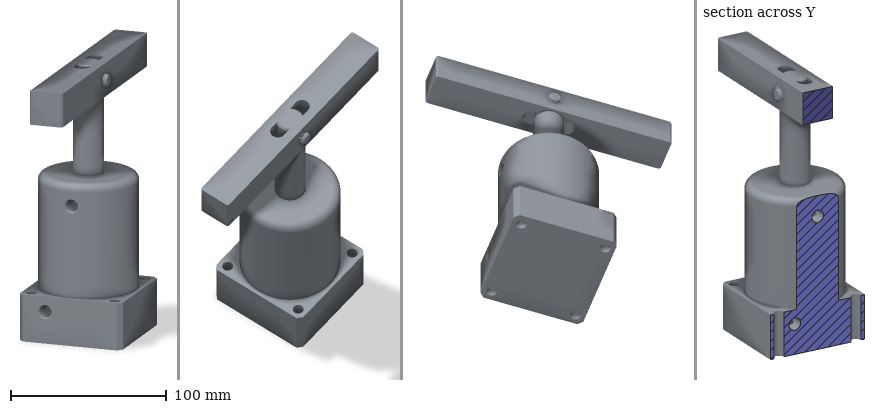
import cadquery as cq

BASE_SIDE = 70.0
BASE_HEIGHT = 31.1
BASE_CORNER_CHAMFER = 3.0
MOUNT_HOLE_DIA = 7.0
MOUNT_HOLE_PITCH = 57.0
CYLINDER_DIA = 65.0
HOUSING_HEIGHT = 107.0
CYLINDER_TOP_FILLET = 5.0

PORT_DIA = 8.3
PORT_CHAMFER = 0.5
PORT_DEPTH = 14.4
PORT_CLEARANCE = 3.6
PORT_A_Z = 92.2
PORT_A_RECESS = 0.5
PORT_B_X = -17.0
PORT_B_Z = 21.0

TOTAL_HEIGHT = 180.0
ARM_LENGTH = 160.0
ARM_SIDE = 22.3
ARM_END_CHAMFER = 1.0
SLOT_WIDTH = 9.9
SLOT_LENGTH = 35.5
ARM_BOTTOM = TOTAL_HEIGHT - ARM_SIDE

ROD_DIA = 20.2
ROD_CHAMFER = 1.0
TONGUE_DIA = ROD_DIA - 2 * ROD_CHAMFER
TONGUE_CHAMFER = 1.0

PIN_DIA = 8.1
PIN_LENGTH = 27.7
PIN_END_CHAMFER = 0.7
PIN_Z = ARM_BOTTOM + ARM_SIDE / 2
RING_THICKNESS = 0.9
RING_BORE_DIA = 7.2
RING_OUTER_DIA = 8.6
RING_OFFSET = 0.4
RING_LUG_REACH = 5.8
RING_LUG_WIDTH = 4.0
RING_GAP = 1.0
RING_ANGLES = {-1: 59.0, 1: 0.0}


def x_cylinder(diameter, length):
    """Cylinder along X on the hinge axis, centred on the arm."""
    return (
        cq.Workplane("YZ", origin=(-length / 2, 0, PIN_Z))
        .circle(diameter / 2)
        .extrude(length)
    )


def port_cutter(x, mouth_y, z):
    """Blind hole along +Y with a countersink at mouth_y, open towards -Y."""
    radius = PORT_DIA / 2
    rim_radius = radius + PORT_CHAMFER
    return (
        cq.Workplane("XY", origin=(x, mouth_y, z))
        .moveTo(0, -PORT_CLEARANCE)
        .lineTo(rim_radius, -PORT_CLEARANCE)
        .lineTo(rim_radius, 0)
        .lineTo(radius, PORT_CHAMFER)
        .lineTo(radius, PORT_DEPTH)
        .lineTo(0, PORT_DEPTH)
        .close()
        .revolve(360, (0, 0, 0), (0, 1, 0))
    )


def make_housing():
    base = (
        cq.Workplane("XY")
        .rect(BASE_SIDE, BASE_SIDE)
        .extrude(BASE_HEIGHT)
        .edges("|Z")
        .chamfer(BASE_CORNER_CHAMFER)
        .faces(">Z")
        .workplane()
        .rect(MOUNT_HOLE_PITCH, MOUNT_HOLE_PITCH, forConstruction=True)
        .vertices()
        .hole(MOUNT_HOLE_DIA)
    )
    cylinder = (
        cq.Workplane("XY", origin=(0, 0, BASE_HEIGHT))
        .circle(CYLINDER_DIA / 2)
        .extrude(HOUSING_HEIGHT - BASE_HEIGHT)
        .faces(">Z")
        .edges()
        .fillet(CYLINDER_TOP_FILLET)
    )
    port_a = port_cutter(0, PORT_A_RECESS - CYLINDER_DIA / 2, PORT_A_Z)
    port_b = port_cutter(PORT_B_X, -BASE_SIDE / 2, PORT_B_Z)
    return base.union(cylinder).cut(port_a).cut(port_b)


def make_rod():
    shaft = (
        cq.Workplane("XY", origin=(0, 0, HOUSING_HEIGHT))
        .circle(ROD_DIA / 2)
        .extrude(ARM_BOTTOM - HOUSING_HEIGHT)
        .faces(">Z")
        .chamfer(ROD_CHAMFER)
    )
    tongue_flats = (
        cq.Workplane("XY", origin=(0, 0, ARM_BOTTOM))
        .rect(SLOT_WIDTH, ROD_DIA)
        .extrude(ARM_SIDE)
    )
    tongue = (
        cq.Workplane("XY", origin=(0, 0, ARM_BOTTOM))
        .circle(TONGUE_DIA / 2)
        .extrude(ARM_SIDE)
        .faces(">Z")
        .chamfer(TONGUE_CHAMFER)
        .intersect(tongue_flats)
    )
    return shaft.union(tongue).cut(x_cylinder(PIN_DIA, ARM_SIDE))


def make_arm():
    bar = (
        cq.Workplane("XY", origin=(0, 0, ARM_BOTTOM))
        .rect(ARM_SIDE, ARM_LENGTH)
        .extrude(ARM_SIDE)
        .edges("|Z")
        .chamfer(ARM_END_CHAMFER)
    )
    slot = (
        cq.Workplane("XY", origin=(0, 0, ARM_BOTTOM))
        .slot2D(SLOT_LENGTH, SLOT_WIDTH, 90)
        .extrude(ARM_SIDE)
    )
    return bar.cut(slot).cut(x_cylinder(PIN_DIA, ARM_SIDE))


def make_pin():
    """Hinge pin with a groove for a retaining ring just outside each side of the arm."""
    pin = x_cylinder(PIN_DIA, PIN_LENGTH).faces("<X or >X").chamfer(PIN_END_CHAMFER)
    groove_span = x_cylinder(PIN_DIA, ARM_SIDE + 2 * RING_THICKNESS)
    grooves = groove_span.cut(x_cylinder(PIN_DIA, ARM_SIDE))
    groove_floor = x_cylinder(RING_BORE_DIA, PIN_LENGTH)
    return pin.cut(grooves.cut(groove_floor))


def make_retaining_ring(side):
    """Open ring, thickest opposite its gap, with a lug on each side of the gap."""
    inner_face_x = side * ARM_SIDE / 2
    start_x = min(inner_face_x, inner_face_x + side * RING_THICKNESS)
    plane = cq.Workplane("YZ", origin=(start_x, 0, PIN_Z))
    band = plane.center(-RING_OFFSET, 0).circle(RING_OUTER_DIA / 2).extrude(RING_THICKNESS)
    lugs = plane.center(RING_LUG_REACH / 2, 0).rect(RING_LUG_REACH, RING_LUG_WIDTH).extrude(RING_THICKNESS)
    bore = plane.circle(RING_BORE_DIA / 2).extrude(RING_THICKNESS)
    gap = plane.center(RING_LUG_REACH / 2, 0).rect(RING_LUG_REACH, RING_GAP).extrude(RING_THICKNESS)
    ring = band.union(lugs).cut(bore).cut(gap)
    return ring.rotate((0, 0, PIN_Z), (1, 0, PIN_Z), RING_ANGLES[side])


housing = make_housing()
rod = make_rod()
arm = make_arm()
pin = make_pin()
rings = [make_retaining_ring(side) for side in RING_ANGLES]

result = cq.Compound.makeCompound(
    [housing.val(), rod.val(), arm.val(), pin.val(), *[ring.val() for ring in rings]]
)